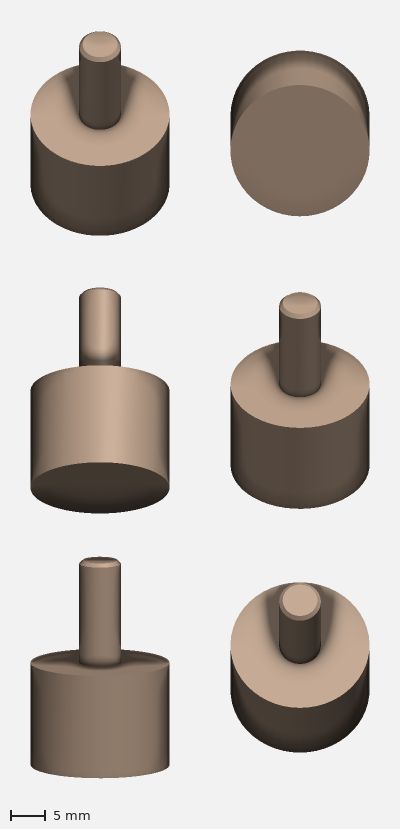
import cadquery as cq

total_height = 30.0
body_height = total_height / 2
stud_length = total_height - body_height
body_diameter = total_height * 2 / 3
stud_diameter = total_height / 5
tip_chamfer = 0.5


def make_body():
    """Plain cylindrical body standing on the XY plane."""
    return cq.Workplane("XY").circle(body_diameter / 2).extrude(body_height)


def make_stud():
    """Stud rising from the top of the body, chamfered at its tip."""
    stud = cq.Workplane("XY").workplane(offset=body_height).circle(stud_diameter / 2).extrude(stud_length)
    return stud.faces(">Z").chamfer(tip_chamfer)


result = make_body().union(make_stud())